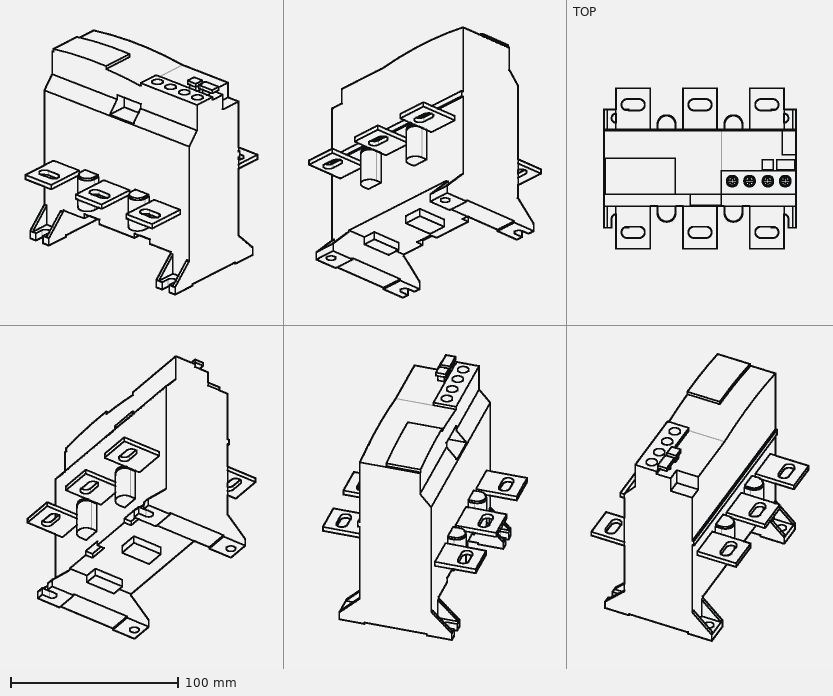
import cadquery as cq

WIDTH = 115.0
HALF_WIDTH = WIDTH / 2
BODY_HALF_DEPTH = 22.5
SHOULDER_Z = 94.1
UPPER_FRONT_Z = 102.2
UPPER_FRONT_Y = -15.4
TOP_Z = 117.3
TOTAL_HEIGHT = 123.5
ARCH_RISE = 2.5
ARCH_RIGHT = 12.7
UNDERSIDE_Z = 18.8

FOOT_WIDTH = 14.9
FOOT_HALF_DEPTH = 35.4
FOOT_HEIGHT = 4.9
FLARE_TOP_Z = 17.8
FOOT_WALL = 2.0
FOOT_INNER = HALF_WIDTH - FOOT_WIDTH
FOOT_CENTRE = HALF_WIDTH - FOOT_WIDTH / 2
FOOT_HOLE_DIAMETER = 5.5
FOOT_HOLE_Y = 30.1
FOOT_RECESS_HALF_DEPTH = 19.5
FOOT_RECESS_HEIGHT = 1.0

POLE_PITCH = 40.0
BAR_WIDTH = 20.5
BAR_THICKNESS = 3.0
BAR_END_Y = 48.0
FRONT_BAR_Z = 46.5
BACK_OFFSET_Z = 10.4
BAR_SLOT_LENGTH = 13.8
BAR_SLOT_WIDTH = 6.7
BAR_SLOT_Y = 38.1
PILLAR_RADIUS = 5.5
PILLAR_Y = 26.4
PILLAR_BOTTOM_Z = 29.6
PILLAR_LEDGE_Z = 50.1
PILLAR_TOP_Z = 51.5
PILLAR_LEDGE = 0.4

TAB_WIDTH = 12.3
TAB_HALF_DEPTH = 9.9
TAB_BOTTOM_Z = 13.8
NOTCH_WIDTH = 12.0
NOTCH_HEIGHT = 3.0
NOTCH_DEPTH = 4.9

LABEL_LEFT = -56.5
LABEL_RIGHT = -14.7
LABEL_BACK_Y = 6.0
LABEL_RISE = 2.0

BLOCK_BACK_Y = -1.2
BLOCK_TOP_Z = 119.3
SCREW_X = (19.3, 29.6, 40.6, 51.0)
SCREW_Y = -7.5
SCREW_HOLE_DIAMETER = 6.7
SCREW_HOLE_DEPTH = 9.9
SCREW_HEAD_DIAMETER = 5.4
SCREW_HEAD_HEIGHT = 3.7
DRIVE_WIDTH = 1.1
DRIVE_CROSS_LENGTH = 3.2
DRIVE_DEPTH = 1.0

BUTTON_FRONT_Y = -0.9
BUTTON_BACK_Y = 5.2
BUTTON_CENTRE_Y = (BUTTON_FRONT_Y + BUTTON_BACK_Y) / 2
BUTTON_THICKNESS = 2.2
BUTTON_BOTTOM_Z = TOTAL_HEIGHT - BUTTON_THICKNESS
SQUARE_BUTTON_LEFT = 37.3
SQUARE_BUTTON_RIGHT = 43.8
SQUARE_STEM_INSET = 1.0
WIDE_BUTTON_LEFT = 46.0
WIDE_BUTTON_RIGHT = 56.8
ROUND_STEM_X = 49.3
ROUND_STEM_DIAMETER = 4.1

WINDOW_LEFT = -5.9
WINDOW_BOTTOM_Z = 94.6
WINDOW_TOP_Z = 105.3
WINDOW_BACK_Y = -8.9
CORNER_LEFT = 49.1
CORNER_FRONT_Y = 8.1
CORNER_DEPTH = 9.9
BEAD_DEPTH = 1.1
BEAD_BOTTOM_Z = 70.1
BEAD_TOP_Z = 73.7


def block(x0, x1, y0, y1, z0, z1):
    """Box between two opposite corners."""
    return cq.Workplane("XY").box(x1 - x0, y1 - y0, z1 - z0, centered=False).translate((x0, y0, z0))


def rod(x, y, diameter, z0, z1):
    """Upright cylinder."""
    return cq.Workplane("XY").center(x, y).circle(diameter / 2).extrude(z1 - z0).translate((0, 0, z0))


def housing_side_solid():
    """Side outline with flared feet and front chamfer, swept over the full width."""
    outline = [
        (-FOOT_HALF_DEPTH, 0),
        (-FOOT_RECESS_HALF_DEPTH, 0),
        (-FOOT_RECESS_HALF_DEPTH, FOOT_RECESS_HEIGHT),
        (FOOT_RECESS_HALF_DEPTH, FOOT_RECESS_HEIGHT),
        (FOOT_RECESS_HALF_DEPTH, 0),
        (FOOT_HALF_DEPTH, 0),
        (FOOT_HALF_DEPTH, FOOT_HEIGHT),
        (BODY_HALF_DEPTH, FLARE_TOP_Z),
        (BODY_HALF_DEPTH, TOTAL_HEIGHT),
        (UPPER_FRONT_Y, TOTAL_HEIGHT),
        (UPPER_FRONT_Y, UPPER_FRONT_Z),
        (-BODY_HALF_DEPTH, SHOULDER_Z),
        (-BODY_HALF_DEPTH, FLARE_TOP_Z),
        (-FOOT_HALF_DEPTH, FOOT_HEIGHT),
    ]
    return cq.Workplane("YZ").polyline(outline).close().extrude(HALF_WIDTH, both=True)


def arched_outline(rise):
    """Front outline down to the ground with the arched top raised by the given amount."""
    arch_middle = (ARCH_RIGHT - HALF_WIDTH) / 2
    return (
        cq.Workplane("XZ")
        .moveTo(-HALF_WIDTH, 0)
        .lineTo(-HALF_WIDTH, TOP_Z + rise)
        .threePointArc((arch_middle, TOP_Z + ARCH_RISE + rise), (ARCH_RIGHT, TOP_Z + rise))
    )


def housing():
    front_solid = (
        arched_outline(0)
        .lineTo(HALF_WIDTH, TOP_Z)
        .lineTo(HALF_WIDTH, 0)
        .lineTo(FOOT_INNER, 0)
        .lineTo(FOOT_INNER, UNDERSIDE_Z)
        .lineTo(-FOOT_INNER, UNDERSIDE_Z)
        .lineTo(-FOOT_INNER, 0)
        .close()
        .extrude(FOOT_HALF_DEPTH, both=True)
    )
    bead = block(-HALF_WIDTH, HALF_WIDTH, 0, BODY_HALF_DEPTH + BEAD_DEPTH, BEAD_BOTTOM_Z, BEAD_TOP_Z)
    return housing_side_solid().intersect(front_solid).union(bead)


def label_panel():
    raised_arch = (
        arched_outline(LABEL_RISE).lineTo(ARCH_RIGHT, 0).close().extrude(BODY_HALF_DEPTH, both=True)
    )
    footprint = block(LABEL_LEFT, LABEL_RIGHT, UPPER_FRONT_Y, LABEL_BACK_Y, UPPER_FRONT_Z, TOTAL_HEIGHT)
    return raised_arch.intersect(footprint)


def foot_cuts():
    """Pockets between the foot walls, closed holes at the back and open slots at the front."""
    pocket_half = FOOT_WIDTH / 2 - FOOT_WALL
    slot_half = FOOT_HOLE_DIAMETER / 2
    cuts = cq.Workplane("XY")
    for x in (-FOOT_CENTRE, FOOT_CENTRE):
        for y0, y1 in ((-FOOT_HALF_DEPTH, -BODY_HALF_DEPTH), (BODY_HALF_DEPTH, FOOT_HALF_DEPTH)):
            cuts = cuts.union(block(x - pocket_half, x + pocket_half, y0, y1, FOOT_HEIGHT, FLARE_TOP_Z))
        for y in (-FOOT_HOLE_Y, FOOT_HOLE_Y):
            cuts = cuts.union(rod(x, y, FOOT_HOLE_DIAMETER, 0, FOOT_HEIGHT))
        cuts = cuts.union(
            block(x - slot_half, x + slot_half, -FOOT_HALF_DEPTH, -FOOT_HOLE_Y, 0, FOOT_HEIGHT)
        )
    return cuts


def busbar(x):
    """Slotted front bar of one pole, starting inside the housing."""
    bar = block(x - BAR_WIDTH / 2, x + BAR_WIDTH / 2, -BAR_END_Y, 0, FRONT_BAR_Z, FRONT_BAR_Z + BAR_THICKNESS)
    slot = (
        cq.Workplane("XY", origin=(x, -BAR_SLOT_Y, FRONT_BAR_Z))
        .slot2D(BAR_SLOT_LENGTH, BAR_SLOT_WIDTH)
        .extrude(BAR_THICKNESS)
    )
    return bar.cut(slot)


def pillar(x):
    """Round-ended front pillar with a narrow ledge below its top."""

    def tier(radius, z0, z1):
        shank = block(x - radius, x + radius, -PILLAR_Y, 0, z0, z1)
        return shank.union(rod(x, -PILLAR_Y, 2 * radius, z0, z1))

    lower = tier(PILLAR_RADIUS, PILLAR_BOTTOM_Z, PILLAR_LEDGE_Z)
    return lower.union(tier(PILLAR_RADIUS - PILLAR_LEDGE, PILLAR_LEDGE_Z, PILLAR_TOP_Z))


def pole_terminals():
    """Front bars and pillars, repeated higher up at the back."""
    front = cq.Workplane("XY")
    for x in (-POLE_PITCH, 0, POLE_PITCH):
        front = front.union(busbar(x))
    for x in (-POLE_PITCH / 2, POLE_PITCH / 2):
        front = front.union(pillar(x))
    back = front.mirror("XZ").translate((0, 0, BACK_OFFSET_Z))
    return front.union(back)


def underside_tabs():
    tabs = cq.Workplane("XY")
    for x in (-POLE_PITCH, 0, POLE_PITCH):
        tabs = tabs.union(
            block(
                x - TAB_WIDTH / 2, x + TAB_WIDTH / 2,
                -TAB_HALF_DEPTH, TAB_HALF_DEPTH,
                TAB_BOTTOM_Z, UNDERSIDE_Z,
            )
        )
    return tabs


def underside_notches():
    """Notches in the lower front edge below the pillars."""
    notches = cq.Workplane("XY")
    for x in (-POLE_PITCH / 2, POLE_PITCH / 2):
        notches = notches.union(
            block(
                x - NOTCH_WIDTH / 2, x + NOTCH_WIDTH / 2,
                -BODY_HALF_DEPTH, NOTCH_DEPTH - BODY_HALF_DEPTH,
                UNDERSIDE_Z, UNDERSIDE_Z + NOTCH_HEIGHT,
            )
        )
    return notches


def terminal_screw(x):
    """Screw head at the bottom of its hole, with a full slot crossed by a short one."""
    bottom_z = BLOCK_TOP_Z - SCREW_HOLE_DEPTH
    head_z = bottom_z + SCREW_HEAD_HEIGHT
    head = rod(x, SCREW_Y, SCREW_HEAD_DIAMETER, bottom_z, head_z)
    drive = (
        cq.Workplane("XY", origin=(x, SCREW_Y, head_z))
        .rect(SCREW_HEAD_DIAMETER, DRIVE_WIDTH)
        .extrude(-DRIVE_DEPTH)
        .union(
            cq.Workplane("XY", origin=(x, SCREW_Y, head_z))
            .rect(DRIVE_WIDTH, DRIVE_CROSS_LENGTH)
            .extrude(-DRIVE_DEPTH)
        )
    )
    return head.cut(drive)


def add_terminal_block(body):
    body = body.union(block(ARCH_RIGHT, HALF_WIDTH, UPPER_FRONT_Y, BLOCK_BACK_Y, UPPER_FRONT_Z, BLOCK_TOP_Z))
    for x in SCREW_X:
        body = body.cut(rod(x, SCREW_Y, SCREW_HOLE_DIAMETER, BLOCK_TOP_Z - SCREW_HOLE_DEPTH, BLOCK_TOP_Z))
        body = body.union(terminal_screw(x))
    return body


def button_cap(left, right):
    return block(left, right, BUTTON_FRONT_Y, BUTTON_BACK_Y, BUTTON_BOTTOM_Z, TOTAL_HEIGHT)


def buttons():
    square_stem = block(
        SQUARE_BUTTON_LEFT + SQUARE_STEM_INSET, SQUARE_BUTTON_RIGHT - SQUARE_STEM_INSET,
        BUTTON_FRONT_Y + SQUARE_STEM_INSET, BUTTON_BACK_Y - SQUARE_STEM_INSET,
        TOP_Z, BUTTON_BOTTOM_Z,
    )
    round_stem = rod(ROUND_STEM_X, BUTTON_CENTRE_Y, ROUND_STEM_DIAMETER, TOP_Z, BUTTON_BOTTOM_Z)
    square_button = square_stem.union(button_cap(SQUARE_BUTTON_LEFT, SQUARE_BUTTON_RIGHT))
    wide_button = round_stem.union(button_cap(WIDE_BUTTON_LEFT, WIDE_BUTTON_RIGHT))
    return square_button.union(wide_button)


window = block(WINDOW_LEFT, ARCH_RIGHT, -BODY_HALF_DEPTH, WINDOW_BACK_Y, WINDOW_BOTTOM_Z, WINDOW_TOP_Z)
corner_cutout = block(CORNER_LEFT, HALF_WIDTH, CORNER_FRONT_Y, BODY_HALF_DEPTH, TOP_Z - CORNER_DEPTH, TOP_Z)

body = housing().cut(foot_cuts()).cut(underside_notches()).cut(window).cut(corner_cutout)
body = body.union(label_panel()).union(underside_tabs()).union(pole_terminals())
body = add_terminal_block(body)
result = body.union(buttons())